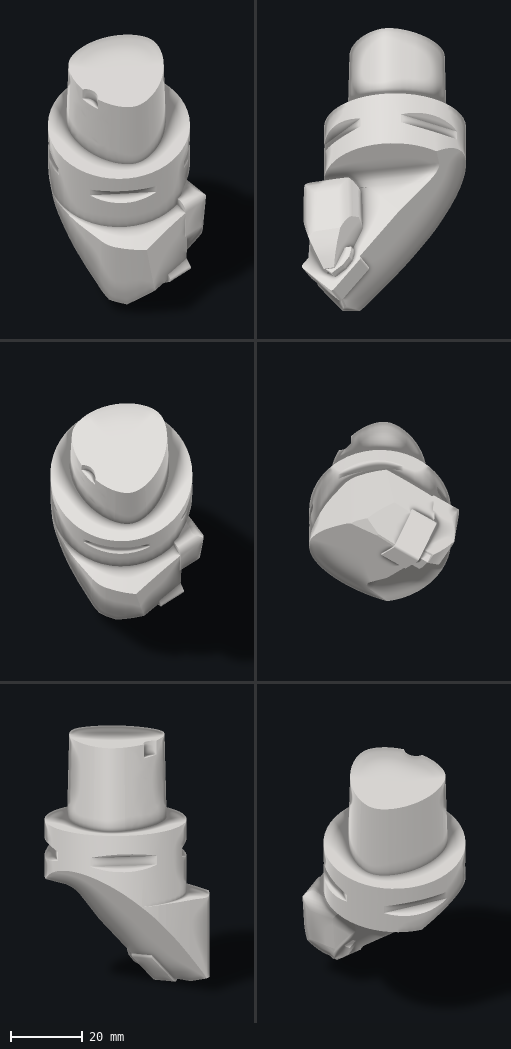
import cadquery as cq
import math

LENGTH_OVERALL = 74.15
WIDTH_X = 46.8
WIDTH_Y = 41.45
FAR = 89.0

SHANK_LENGTH = 24.0
SHANK_WIDTH = 28.0
SHANK_TAPER = 1 / 20
LOBE_HEIGHT = 1.0
SPLINE_STEPS = 8

NOTCH_DIAMETER = 7.0
NOTCH_CENTRE_Y = -14.25
NOTCH_DEPTH = 4.0

FLANGE_DIAMETER = 40.0
FLANGE_RADIUS = FLANGE_DIAMETER / 2
FLANGE_BOTTOM = -20.9
GROOVE_Z = -7.9
GROOVE_FLOOR_WIDTH = 2.5
GROOVE_MOUTH_WIDTH = 5.2
GROOVE_DEPTH = 2.4
GROOVE_COUNT = 4

TIP_X = WIDTH_X - FLANGE_RADIUS
TIP_Z = SHANK_LENGTH - LENGTH_OVERALL
HEAD_SIDE_Y = FLANGE_RADIUS - WIDTH_Y

BLEND_START = (-10.4, -17.05)
BLEND_MIDDLE = (-8.15, -18.5)
RAMP_START = (-5.7, -19.5)
RAMP_END = (-3.05, -20.25)
SWELL_MIDDLE = (1.5, -21.1)
SIDE_FLAT_START = (6.15, HEAD_SIDE_Y)
SIDE_FLAT_END = (12.1, HEAD_SIDE_Y)
CORNER_MIDDLE = (14.3, -21.1)
CORNER_END = (16.4, -20.3)
FRONT_MIDDLE = (20.9, -17.3)
FRONT_END = (25.6, -12.7)

SHOULDER_SLOPE = 15.0
SIDE_TOP_X = 21.4
SIDE_FOOT = (25.0, -40.85)
HEAD_BOTTOM = -48.3
NOSE_TIP_X = SIDE_FOOT[0] + HEAD_BOTTOM - SIDE_FOOT[1]
BOTTOM_SLOPE = 17.5
BOTTOM_SLOPE_START_Y = -13.6
BACK_BEVEL_START_Z = -11.35

WALL_Y = 4.15
ROOF_OUTER_Z = -15.95
ROOF_SLOPE = 5.0
ROOF_RADIUS = 3.35
RAKE_FACE_TOP = -20.55

INSERT_SIDE = 12.7
INSERT_THICKNESS = 7.9
INSERT_NOSE_RADIUS = 0.8
TILT = 8.0
RAKE_CENTRE_Y = 0.9
CORNER_FACTOR = (1 + math.cos(math.radians(TILT))) / math.sqrt(2)
CORNER_REACH = (INSERT_SIDE / 2 - INSERT_NOSE_RADIUS) * CORNER_FACTOR + INSERT_NOSE_RADIUS
RAKE_CENTRE = (TIP_X - CORNER_REACH, RAKE_CENTRE_Y, TIP_Z + CORNER_REACH)

CLAMP_HEIGHT = 8.7
CLAMP_END_HEIGHT = 3.7
CLAMP_CROWN = (6.6, 1.4)
CLAMP_CROWN_TOP_Z = 6.2
CLAMP_ROOT = 0.75
CLAMP_LEFT = -9.65
CLAMP_RIGHT = 6.2
CLAMP_RIGHT_Z = 11.5
CLAMP_TOP = 23.0
CLAMP_TOP_DROP = 1.05
CLAMP_TOP_RIGHT = 4.9
CLAMP_BOTTOM = -3.4
CLAMP_BOTTOM_RIGHT = 1.1
CLAMP_CORNER_RADIUS = 3.0
CLAMP_EDGE_RADIUS = 4.8
CLAMP_SIDE_RADIUS = 4.45
LEFT_WALL_HEIGHT = 3.6
LEFT_CHAMFER_WIDTH = 1.0
LEFT_CHAMFER_HEIGHT = 2.2
LEFT_ROUND_MIDDLE = (2.1, 7.65)
LEFT_ROUND_WIDTH = 4.1
BACK_FACET_Z = 10.8
BACK_FACET_NORMAL = (-1, 0.3, -0.54)

NOSE_HEIGHT = 3.3
NOSE_CORNERS = [
    (-7.05, 2.4),
    (-6.9, 1.05),
    (-6.4, -0.6),
    (-4.4, -2.8),
    (-1.1, -4.8),
    (1.1, -3.0),
    (1.1, 2.4),
]


def tilted(shape):
    """Move a shape drawn about the origin, rake face on Y = 0, to its tilted place on the head."""
    return shape.rotate((0, 0, 0), (1, 0, 1), -TILT).translate(RAKE_CENTRE)


def lobed_wire(width, z):
    """Three-lobed outline of constant width, one lobe on +Y, split between lobes and flats."""

    def point(angle):
        support = width / 2 + LOBE_HEIGHT * math.cos(3 * angle)
        offset = -3 * LOBE_HEIGHT * math.sin(3 * angle)
        turn = angle + math.pi / 2
        return cq.Vector(
            support * math.cos(turn) - offset * math.sin(turn),
            support * math.sin(turn) + offset * math.cos(turn),
            z,
        )

    sixth = math.pi / 3
    edges = []
    for side in range(6):
        start = (side - 0.5) * sixth
        points = [point(start + sixth * step / SPLINE_STEPS) for step in range(SPLINE_STEPS + 1)]
        edges.append(cq.Edge.makeSpline(points))
    return cq.Wire.assembleEdges(edges)


def make_shank():
    top_width = SHANK_WIDTH - SHANK_LENGTH * SHANK_TAPER
    wires = [lobed_wire(SHANK_WIDTH, 0), lobed_wire(top_width, SHANK_LENGTH)]
    shank = cq.Workplane(cq.Solid.makeLoft(wires, True))
    notch = (
        cq.Workplane("XY", origin=(0, NOTCH_CENTRE_Y, SHANK_LENGTH - NOTCH_DEPTH))
        .circle(NOTCH_DIAMETER / 2)
        .extrude(NOTCH_DEPTH)
    )
    return shank.cut(notch)


def make_flange():
    flange = cq.Workplane("XY").circle(FLANGE_RADIUS).extrude(FLANGE_BOTTOM)
    floor_x = FLANGE_RADIUS - GROOVE_DEPTH
    groove = (
        cq.Workplane("XZ", origin=(0, 0, GROOVE_Z))
        .moveTo(floor_x, -GROOVE_FLOOR_WIDTH / 2)
        .lineTo(floor_x, GROOVE_FLOOR_WIDTH / 2)
        .lineTo(FLANGE_RADIUS, GROOVE_MOUTH_WIDTH / 2)
        .lineTo(FLANGE_RADIUS, -GROOVE_MOUTH_WIDTH / 2)
        .close()
        .extrude(FLANGE_RADIUS, both=True)
    )
    pitch = 360 / GROOVE_COUNT
    for number in range(GROOVE_COUNT):
        flange = flange.cut(groove.rotate((0, 0, 0), (0, 0, 1), pitch * (number + 0.5)))
    return flange


def head_prism():
    """Vertical prism with the outline of the head, from its bottom up to the flange top."""
    return (
        cq.Workplane("XY", origin=(0, 0, HEAD_BOTTOM))
        .moveTo(*BLEND_START)
        .threePointArc(BLEND_MIDDLE, RAMP_START)
        .lineTo(*RAMP_END)
        .threePointArc(SWELL_MIDDLE, SIDE_FLAT_START)
        .lineTo(*SIDE_FLAT_END)
        .threePointArc(CORNER_MIDDLE, CORNER_END)
        .threePointArc(FRONT_MIDDLE, FRONT_END)
        .lineTo(FRONT_END[0], WALL_Y)
        .lineTo(-FLANGE_RADIUS, WALL_Y)
        .close()
        .extrude(-HEAD_BOTTOM)
    )


def shoulder_cone():
    """Everything below the conical shoulder that spreads from the foot of the flange."""
    drop = (FAR - FLANGE_RADIUS) * math.tan(math.radians(SHOULDER_SLOPE))
    return (
        cq.Workplane("XZ")
        .moveTo(0, FLANGE_BOTTOM)
        .lineTo(FLANGE_RADIUS, FLANGE_BOTTOM)
        .lineTo(FAR, FLANGE_BOTTOM - drop)
        .lineTo(FAR, -FAR)
        .lineTo(0, -FAR)
        .close()
        .revolve(360, (0, 0), (0, 1))
    )


def side_elevation():
    """Leaning +X side and the 45 degree nose bevel."""
    return (
        cq.Workplane("XZ")
        .moveTo(SIDE_TOP_X, 0)
        .lineTo(*SIDE_FOOT)
        .lineTo(NOSE_TIP_X, HEAD_BOTTOM)
        .lineTo(-FAR, HEAD_BOTTOM)
        .lineTo(-FAR, 0)
        .close()
        .extrude(FAR, both=True)
    )


def make_head():
    rise = math.tan(math.radians(BOTTOM_SLOPE)) * (FAR + BOTTOM_SLOPE_START_Y)
    bottom_bevel = (
        cq.Workplane("YZ")
        .moveTo(BOTTOM_SLOPE_START_Y, HEAD_BOTTOM)
        .lineTo(-FAR, HEAD_BOTTOM + rise)
        .lineTo(-FAR, HEAD_BOTTOM)
        .close()
        .extrude(FAR, both=True)
    )
    return head_prism().intersect(shoulder_cone()).intersect(side_elevation()).cut(bottom_bevel)


def make_chip_space():
    """Upright relief under a sloping roof, joined with the space in front of the rake face."""
    roof_inner_z = ROOF_OUTER_Z - math.tan(math.radians(ROOF_SLOPE)) * (FLANGE_RADIUS - WALL_Y)
    relief = (
        cq.Workplane("YZ")
        .moveTo(FLANGE_RADIUS, ROOF_OUTER_Z)
        .lineTo(WALL_Y, roof_inner_z)
        .lineTo(WALL_Y, -FAR)
        .lineTo(FLANGE_RADIUS, -FAR)
        .close()
        .extrude(FAR, both=True)
        .edges(cq.NearestToPointSelector((0, WALL_Y, roof_inner_z)))
        .fillet(ROOF_RADIUS)
    )
    above_rake = tilted(cq.Workplane("XY").box(FAR, FAR, FAR, centered=(True, False, True)))
    below_roof = cq.Workplane("XY", origin=(0, 0, RAKE_FACE_TOP)).rect(FAR, FAR).extrude(-FAR)
    return relief.union(above_rake.intersect(below_roof))


def clamp_face_outline():
    """Clamp block seen square to the rake face, with rounded top corners."""
    return (
        cq.Workplane("XZ", origin=(0, -CLAMP_ROOT, 0))
        .moveTo(CLAMP_LEFT, CLAMP_BOTTOM)
        .lineTo(CLAMP_LEFT, CLAMP_TOP - CLAMP_TOP_DROP)
        .lineTo(CLAMP_TOP_RIGHT, CLAMP_TOP)
        .lineTo(CLAMP_RIGHT, CLAMP_RIGHT_Z)
        .lineTo(CLAMP_BOTTOM_RIGHT, CLAMP_BOTTOM)
        .close()
        .extrude(-CLAMP_HEIGHT - CLAMP_ROOT)
        .edges(cq.selectors.BoxSelector((-FAR, -FAR, CLAMP_TOP - 2 * CLAMP_TOP_DROP), (FAR, FAR, FAR)))
        .edges("|Y")
        .fillet(CLAMP_CORNER_RADIUS)
    )


def clamp_side_outline():
    """Clamp height along Z: a curved fall to the low end and a rounded top edge."""
    return (
        cq.Workplane("YZ")
        .moveTo(-CLAMP_ROOT, CLAMP_BOTTOM)
        .lineTo(CLAMP_END_HEIGHT, CLAMP_BOTTOM)
        .threePointArc(CLAMP_CROWN, (CLAMP_HEIGHT, CLAMP_CROWN_TOP_Z))
        .lineTo(CLAMP_HEIGHT, CLAMP_TOP - CLAMP_EDGE_RADIUS)
        .radiusArc((CLAMP_HEIGHT - CLAMP_EDGE_RADIUS, CLAMP_TOP), -CLAMP_EDGE_RADIUS)
        .lineTo(-CLAMP_ROOT, CLAMP_TOP)
        .close()
        .extrude(FAR, both=True)
    )


def clamp_end_outline():
    """Clamp height along X: chamfered and rounded on the left, rounded on the right."""
    chamfer_top = LEFT_WALL_HEIGHT + LEFT_CHAMFER_HEIGHT
    round_middle = (CLAMP_LEFT + LEFT_ROUND_MIDDLE[0], LEFT_ROUND_MIDDLE[1])
    return (
        cq.Workplane("XY")
        .moveTo(CLAMP_LEFT, -CLAMP_ROOT)
        .lineTo(CLAMP_LEFT, LEFT_WALL_HEIGHT)
        .lineTo(CLAMP_LEFT + LEFT_CHAMFER_WIDTH, chamfer_top)
        .threePointArc(round_middle, (CLAMP_LEFT + LEFT_ROUND_WIDTH, CLAMP_HEIGHT))
        .lineTo(CLAMP_RIGHT - CLAMP_SIDE_RADIUS, CLAMP_HEIGHT)
        .radiusArc((CLAMP_RIGHT, CLAMP_HEIGHT - CLAMP_SIDE_RADIUS), CLAMP_SIDE_RADIUS)
        .lineTo(CLAMP_RIGHT, -CLAMP_ROOT)
        .close()
        .extrude(FAR, both=True)
    )


def make_clamp():
    """Clamp block and its nose, part of the holder."""
    facet_origin = (CLAMP_LEFT, LEFT_WALL_HEIGHT, BACK_FACET_Z)
    facet_plane = cq.Plane(origin=facet_origin, normal=BACK_FACET_NORMAL)
    behind_facet = cq.Workplane(facet_plane).rect(FAR, FAR).extrude(FAR)
    block = clamp_face_outline().intersect(clamp_side_outline()).intersect(clamp_end_outline())
    nose = cq.Workplane("XZ").polyline(NOSE_CORNERS).close().extrude(-NOSE_HEIGHT)
    return tilted(block.cut(behind_facet).union(nose))


def make_back_bevel():
    """Space below the 45 degree bevel that runs from the flange to the nose."""
    bevel_end_x = FAR + BACK_BEVEL_START_Z - FLANGE_RADIUS
    return (
        cq.Workplane("XZ")
        .moveTo(-FLANGE_RADIUS, BACK_BEVEL_START_Z)
        .lineTo(-FLANGE_RADIUS, -FAR)
        .lineTo(bevel_end_x, -FAR)
        .close()
        .extrude(FAR, both=True)
    )


def make_insert():
    insert = (
        cq.Workplane("XZ")
        .transformed(rotate=(0, 0, 45))
        .rect(INSERT_SIDE, INSERT_SIDE)
        .extrude(INSERT_THICKNESS)
        .edges("|Y")
        .fillet(INSERT_NOSE_RADIUS)
    )
    return tilted(insert)


def make_holder(insert):
    """Shank, flange, head and clamp in one solid, with a pocket that fits the insert."""
    return (
        make_flange()
        .union(make_head())
        .cut(make_chip_space())
        .cut(make_back_bevel())
        .union(make_clamp())
        .union(make_shank())
        .cut(insert)
    )


insert = make_insert()
holder = make_holder(insert)
result = cq.Compound.makeCompound([holder.val(), insert.val()])